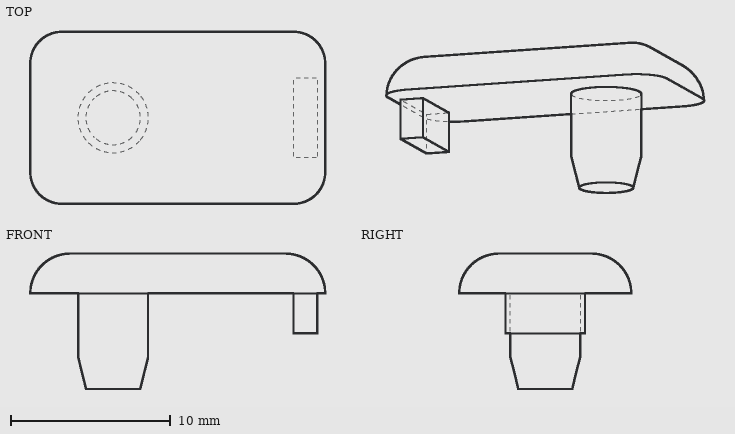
import cadquery as cq

cap_length = 18.5
cap_width = 10.8
cap_height = 2.5
corner_radius = 2.0
trim_depth = 1.0

total_height = 8.5
pin_diameter = 4.4
pin_tip_diameter = 3.4
pin_tip_length = 2.0
pin_offset_from_end = 5.2
pin_x = -cap_length / 2 + pin_offset_from_end
pin_length = total_height - cap_height

tab_thickness = 1.5
tab_width = 5.0
tab_depth = 2.5
tab_offset_from_end = 0.5
tab_x = cap_length / 2 - tab_offset_from_end - tab_thickness / 2


def rectangular_block(bottom_z, height):
    """Block with the length and width of the cap."""
    return (
        cq.Workplane("XY", origin=(0, 0, bottom_z))
        .rect(cap_length, cap_width)
        .extrude(height)
    )


def make_cap():
    """Rounded block with quarter-round top edges, trimmed where its sides become vertical."""
    block = (
        rectangular_block(-trim_depth, cap_height + trim_depth)
        .edges("|Z")
        .fillet(corner_radius)
        .faces(">Z")
        .edges()
        .fillet(cap_height)
    )
    return block.cut(rectangular_block(-trim_depth, trim_depth))


def make_pin():
    """Straight shank with a conical tip, revolved about its own vertical axis."""
    return (
        cq.Workplane("XZ", origin=(pin_x, 0, 0))
        .lineTo(pin_diameter / 2, 0)
        .lineTo(pin_diameter / 2, pin_tip_length - pin_length)
        .lineTo(pin_tip_diameter / 2, -pin_length)
        .lineTo(0, -pin_length)
        .close()
        .revolve(360, (0, 0, 0), (0, 1, 0))
    )


def make_tab():
    """Plain rectangular block hanging from the underside of the cap."""
    return cq.Workplane("XY", origin=(tab_x, 0, -tab_depth)).box(
        tab_thickness, tab_width, tab_depth, centered=(True, True, False)
    )


result = make_cap().union(make_pin()).union(make_tab())